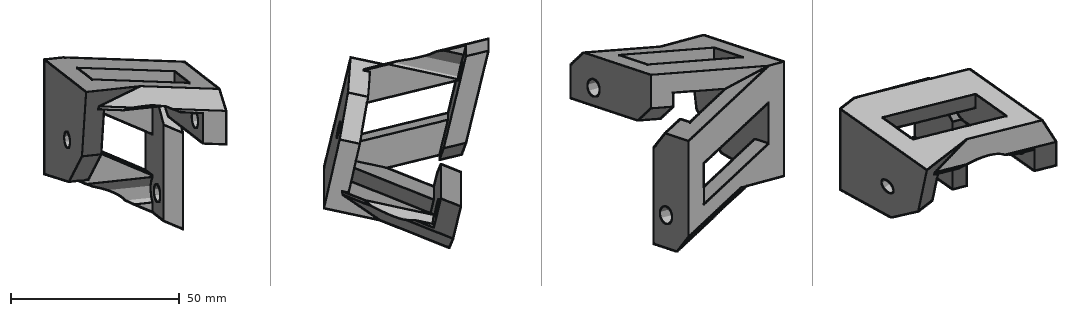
import cadquery as cq

side = 35.56
depth = 38.1
reach = 52.22
wall = 6.12
arm_height = 15.56

lean_per_mm = (reach - side) / (depth - wall)

corner_far = 32.0
corner_near = 20.95
plate_hole_at = 19.4
plate_hole_diameter = 4.9

bevel_width = 5.75
bevel_drop = 5.15

window_width = 12.7
window_offset = (side - window_width) / 2

screw_x = 42.0
screw_z = -9.95
screw_hole_diameter = 5.36
screw_head_diameter = 11.0

plate_outline = [
    (0, 0),
    (side, 0),
    (corner_far, -corner_near),
    (corner_near, -corner_far),
    (0, -side),
]


def leaning_prism(outline):
    """Sweep an XZ outline, given at the back of the plate, along the lean from front to back face."""
    front_shift = -lean_per_mm * wall
    wire = cq.Wire.makePolygon([cq.Vector(x + front_shift, 0, z) for x, z in outline], close=True)
    return cq.Workplane(obj=cq.Solid.extrudeLinear(wire, [], cq.Vector(lean_per_mm * depth, depth, 0)))


def cylinder_along_y(diameter, x, z, y_start, y_end):
    """Round cutter for a hole running front to back."""
    axis_start = cq.Vector(x, y_start, z)
    axis = cq.Vector(0, 1, 0)
    return cq.Workplane(obj=cq.Solid.makeCylinder(diameter / 2, y_end - y_start, axis_start, axis))


def extrude_outline(y_length):
    """Plate outline, extruded back from the front face."""
    return cq.Workplane("XZ").polyline(plate_outline).close().extrude(-y_length)


def make_plate():
    hole = cylinder_along_y(plate_hole_diameter, plate_hole_at, -plate_hole_at, 0, wall)
    return extrude_outline(wall).cut(hole)


def make_gusset():
    """Fills the wedge between the plate edge and the outer bevel of the arm."""
    y_end = wall + bevel_width / lean_per_mm
    wedge = (
        cq.Workplane("XY")
        .polyline([(side - bevel_width, wall), (side, wall), (side, y_end)])
        .close()
        .extrude(-wall)
    )
    return wedge.intersect(extrude_outline(depth))


def make_arm():
    """Arm running along the top: a leaning roof that ends in an upright tab."""
    body = leaning_prism([
        (0, 0),
        (side - bevel_width, 0),
        (side, -bevel_drop),
        (side, -arm_height),
        (bevel_width, -arm_height),
        (0, bevel_drop - arm_height),
    ])

    part_space = cq.Workplane("XY").box(reach, depth, reach, centered=False).translate((0, 0, -reach))
    body = body.intersect(part_space)

    tab_y = depth - wall
    cavity_size = (reach, tab_y, arm_height)
    cavity = cq.Workplane("XY").box(*cavity_size, centered=False).translate((0, 0, -wall - arm_height))

    window_lean = lean_per_mm * (tab_y - wall)
    left = window_offset
    right = window_offset + window_width
    window = (
        cq.Workplane("XY")
        .polyline([(left, wall), (right, wall), (right + window_lean, tab_y), (left + window_lean, tab_y)])
        .close()
        .extrude(-wall)
    )

    head_channel = cylinder_along_y(screw_head_diameter, screw_x, screw_z, wall, tab_y)
    screw_hole = cylinder_along_y(screw_hole_diameter, screw_x, screw_z, tab_y, depth)
    arm = body.cut(cavity).cut(window).cut(head_channel).cut(screw_hole)
    return arm.union(make_gusset())


top_arm = make_arm()
side_arm = top_arm.mirror((1, 0, 1))
result = make_plate().union(top_arm).union(side_arm)